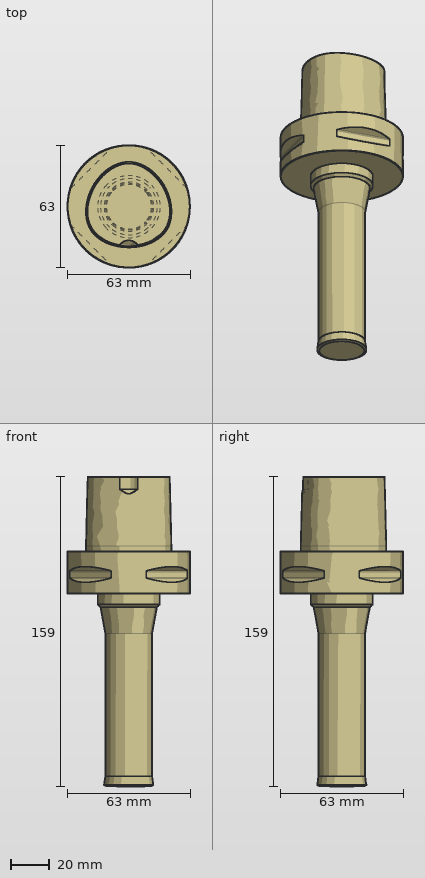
import cadquery as cq
import math


coupling_height = 38.0
base_band_height = 2.7
polygon_mean_diameter = 44.0
polygon_eccentricity = 1.8
taper_ratio = 1 / 20
polygon_points = 36

notch_radius = 5.5
notch_inner_y = -17.4
notch_depth = 6.2
notch_point_height = 4.4
notch_axis_y = notch_inner_y - notch_radius

flange_diameter = 63.0
flange_thickness = 22.0
flange_edge_chamfer = 0.25
groove_angles = (45, 135, 225, 315)
groove_center_z = -12.0
groove_floor_distance = 27.75
groove_floor_width = 3.7
groove_corner_radius = 0.6
groove_overshoot = 1.0
groove_wall_angle = 30

neck_diameter = 32.0
neck_length = 5.3
cone_top_diameter = 29.0
shank_diameter = 24.1
neck_end_z = -flange_thickness - neck_length
cone_top_z = neck_end_z - (neck_diameter - cone_top_diameter) / 2
cone_end_z = -42.2

tip_top_z = -115.5
tip_edge_z = -120.0
tip_end_z = -121.0
tip_diameter = 25.4
tip_bevel_width = 1.2
tip_bevel_height = 0.6


def polygon_point(mean_diameter, angle):
    """Point on the three-lobed coupling outline; angle 0 is the tip of the lobe on +Y."""
    radius = mean_diameter / 2
    e = polygon_eccentricity
    x = radius * math.sin(angle) - e * math.sin(2 * angle) - e / 2 * math.sin(4 * angle)
    y = radius * math.cos(angle) + e * math.cos(2 * angle) - e / 2 * math.cos(4 * angle)
    return (x, y)


def polygon_section(start, mean_diameter):
    step = 2 * math.pi / polygon_points
    points = [polygon_point(mean_diameter, i * step) for i in range(polygon_points)]
    return start.spline(points, periodic=True).close()


def make_coupling():
    """Straight band at the flange, then a uniform taper up to the end face."""
    taper_height = coupling_height - base_band_height
    top_diameter = polygon_mean_diameter - taper_ratio * taper_height
    sections = polygon_section(cq.Workplane("XY"), polygon_mean_diameter)
    sections = polygon_section(sections.workplane(offset=base_band_height), polygon_mean_diameter)
    sections = polygon_section(sections.workplane(offset=taper_height), top_diameter)
    return sections.loft(ruled=True)


def make_notch():
    """Drill with a conical point, standing vertically just outside the coupling wall."""
    floor_z = coupling_height - notch_depth
    profile = (
        cq.Workplane("XZ")
        .moveTo(0, coupling_height)
        .lineTo(notch_radius, coupling_height)
        .lineTo(notch_radius, floor_z)
        .lineTo(0, floor_z - notch_point_height)
        .close()
    )
    return profile.revolve(360, (0, 0, 0), (0, 1, 0)).translate((0, notch_axis_y, 0))


def make_groove(angle):
    """Straight groove with a flat floor, rounded corners and sloping walls, at the given angle."""
    outer = flange_diameter / 2 + groove_overshoot
    floor_half = groove_floor_width / 2
    mouth_half = floor_half + (outer - groove_floor_distance) * math.tan(math.radians(groove_wall_angle))
    groove = (
        cq.Workplane("XZ")
        .polyline([
            (groove_floor_distance, groove_center_z - floor_half),
            (outer, groove_center_z - mouth_half),
            (outer, groove_center_z + mouth_half),
            (groove_floor_distance, groove_center_z + floor_half),
        ])
        .close()
        .extrude(flange_diameter / 2, both=True)
        .edges("<X")
        .fillet(groove_corner_radius)
    )
    return groove.rotate((0, 0, 0), (0, 0, 1), angle)


def make_flange():
    flange = (
        cq.Workplane("XY")
        .circle(flange_diameter / 2)
        .extrude(-flange_thickness)
        .edges()
        .chamfer(flange_edge_chamfer)
    )
    for angle in groove_angles:
        flange = flange.cut(make_groove(angle))
    return flange


def make_shank():
    return (
        cq.Workplane("XZ")
        .moveTo(0, -flange_thickness)
        .lineTo(neck_diameter / 2, -flange_thickness)
        .lineTo(neck_diameter / 2, neck_end_z)
        .lineTo(cone_top_diameter / 2, cone_top_z)
        .lineTo(shank_diameter / 2, cone_end_z)
        .lineTo(shank_diameter / 2, tip_top_z)
        .lineTo(0, tip_top_z)
        .close()
        .revolve(360, (0, 0, 0), (0, 1, 0))
    )


def make_holder():
    coupling = make_coupling().cut(make_notch())
    return coupling.union(make_flange()).union(make_shank())


def make_cutting_tip():
    """Slightly flared tip with a bevelled rim and a shallow domed end face."""
    edge_radius = tip_diameter / 2
    dome_edge_radius = edge_radius - tip_bevel_width
    dome_edge_z = tip_edge_z - tip_bevel_height
    dome_height = dome_edge_z - tip_end_z
    dome_radius = (dome_edge_radius ** 2 + dome_height ** 2) / (2 * dome_height)
    middle_x = dome_edge_radius / 2
    middle_z = tip_end_z + dome_radius - math.sqrt(dome_radius ** 2 - middle_x ** 2)
    return (
        cq.Workplane("XZ")
        .moveTo(0, tip_top_z)
        .lineTo(shank_diameter / 2, tip_top_z)
        .lineTo(edge_radius, tip_edge_z)
        .lineTo(dome_edge_radius, dome_edge_z)
        .threePointArc((middle_x, middle_z), (0, tip_end_z))
        .close()
        .revolve(360, (0, 0, 0), (0, 1, 0))
    )


holder = make_holder().solids()
cutting_tip = make_cutting_tip()

result = cq.Compound.makeCompound([holder.val(), cutting_tip.val()])